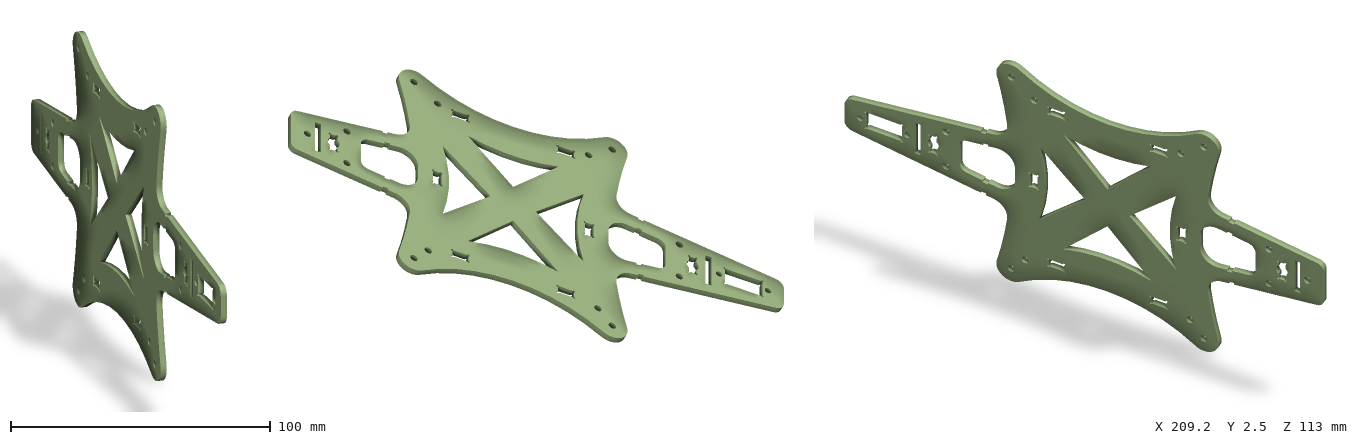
import cadquery as cq
import math

THICKNESS = 2.5
LEFT_END = -94.3
RIGHT_END = LEFT_END + 209.2

HEIGHT = 113.0
EAR_RADIUS = 6.5
EAR_X = 42.0
EAR_Z = HEIGHT / 2 - EAR_RADIUS
EDGE_WAIST_Z = 43.7
SIDE_WAIST_X = 42.3

ARM_TAPER = math.tan(math.radians(8))
ARM_HALF_AT_CENTRE = 23.8
ARM_ROOT_X = 43.3
ARM_ROOT_FILLET = 7.1
LEFT_END_RADIUS = 3.3
RIGHT_END_RADIUS = 4.0

WINDOW_INNER_X = 40.4
WINDOW_OUTER_X = 64.6
RAIL_WIDTH_Z = 7.0
WINDOW_INNER_RADIUS = 7.1
WINDOW_OUTER_RADIUS = 3.8

NOTCH_X = 53.8
NOTCH_WIDTH = 2.3
NOTCH_DEPTH = 0.8

OPENING_TIP = 9.6
OPENING_CORNER_REACH = 30.0
OPENING_CORNER_HALF = 19.2
OPENING_ARCH_REACH = 27.2

HOLE_DIAMETER = 3.1
UPPER_HOLE = (32.0, 42.3)
LOWER_HOLE = (36.0, -42.9)
ARM_HOLE = (70.5, 9.0)
LEFT_END_HOLE_X = -87.2

STRAP_X = 82.8
STRAP_WIDTH = 2.5
STRAP_LENGTH = 16.0

RELIEF_RADIUS = 0.52
TAB_LENGTH = 7.0
TAB_WIDTH = 3.5
EDGE_TAB = (22.4, 39.7)
SIDE_TAB_X = 32.2
LOCK_X = 76.1
LOCK_WIDTH = 3.1
LOCK_LENGTH = 8.8
LOCK_HOLE_DIAMETER = 5.0
SERVO_X = 97.7
SERVO_LENGTH = 16.0
SERVO_WIDTH = 8.4
SERVO_HOLE_PITCH = 20.7
SERVO_HOLE_DIAMETER = 2.7


def sketch():
    """Workplane on the back face, local axes X and Z, extruding toward -Y."""
    return cq.Workplane("XZ", origin=(0, THICKNESS / 2, 0))


def mirrored(x, z):
    """The four mirror images of a point, or two when it lies on an axis."""
    return sorted({(sx * x, sz * z) for sx in (1, -1) for sz in (1, -1)})


def arm_half_width(x):
    return ARM_HALF_AT_CENTRE - ARM_TAPER * abs(x)


def arc_tangent_to_ear(waist, along, across):
    """Arc with its middle at `waist` that runs tangentially into an ear.

    The ear centre lies `along` the edge from its middle and `across` from the
    part centre. Returns the tangent point in the same (along, across) terms.
    """
    rise = across - waist
    radius = (along**2 + rise**2 - EAR_RADIUS**2) / (2 * (EAR_RADIUS + rise))
    centre = waist + radius
    share = radius / (radius + EAR_RADIUS)
    return along * share, centre + (across - centre) * share


def body():
    edge_x, edge_z = arc_tangent_to_ear(EDGE_WAIST_Z, EAR_X, EAR_Z)
    side_z, side_x = arc_tangent_to_ear(SIDE_WAIST_X, EAR_Z, EAR_X)
    ear_reach = EAR_RADIUS / math.sqrt(2)
    ear_x = EAR_X + ear_reach
    ear_z = EAR_Z + ear_reach
    return (
        sketch()
        .moveTo(-edge_x, edge_z)
        .threePointArc((0, EDGE_WAIST_Z), (edge_x, edge_z))
        .threePointArc((ear_x, ear_z), (side_x, side_z))
        .threePointArc((SIDE_WAIST_X, 0), (side_x, -side_z))
        .threePointArc((ear_x, -ear_z), (edge_x, -edge_z))
        .threePointArc((0, -EDGE_WAIST_Z), (-edge_x, -edge_z))
        .threePointArc((-ear_x, -ear_z), (-side_x, -side_z))
        .threePointArc((-SIDE_WAIST_X, 0), (-side_x, side_z))
        .threePointArc((-ear_x, ear_z), (-edge_x, edge_z))
        .close()
        .extrude(THICKNESS)
    )


def trapezoid(x_inner, half_inner, x_outer, half_outer):
    return (
        sketch()
        .polyline([
            (x_inner, -half_inner),
            (x_outer, -half_outer),
            (x_outer, half_outer),
            (x_inner, half_inner),
        ])
        .close()
        .extrude(THICKNESS)
    )


def edges_near(x):
    """Selector for the through-thickness edges close to a given X, on either side of Z = 0."""
    reach = 1.0
    return cq.selectors.BoxSelector(
        (x - reach, -THICKNESS, -EDGE_WAIST_Z), (x + reach, THICKNESS, EDGE_WAIST_Z)
    )


def arm(x_end, end_radius):
    x_root = math.copysign(EAR_X / 2, x_end)
    blank = trapezoid(x_root, arm_half_width(x_root), x_end, arm_half_width(x_end))
    return blank.edges("|Y").edges(edges_near(x_end)).fillet(end_radius)


def arm_window(side):
    x_inner = side * WINDOW_INNER_X
    x_outer = side * WINDOW_OUTER_X
    window = trapezoid(
        x_inner, arm_half_width(x_inner) - RAIL_WIDTH_Z,
        x_outer, arm_half_width(x_outer) - RAIL_WIDTH_Z,
    )
    window = window.edges("|Y").edges(edges_near(x_inner)).fillet(WINDOW_INNER_RADIUS)
    return window.edges("|Y").edges(edges_near(x_outer)).fillet(WINDOW_OUTER_RADIUS)


def rail_notches():
    """Notch pairs square to each rail, one in its outer and one in its inner edge."""
    taper_angle = math.degrees(math.atan(ARM_TAPER))
    half_rail = RAIL_WIDTH_Z * math.cos(math.atan(ARM_TAPER)) / 2
    rail_z = arm_half_width(NOTCH_X) - RAIL_WIDTH_Z / 2
    notches = cq.Workplane("XZ")
    for x, z in mirrored(NOTCH_X, rail_z):
        tilt = -math.copysign(taper_angle, x * z)
        pair = (
            sketch()
            .transformed(rotate=(0, 0, tilt), offset=(x, z, 0))
            .pushPoints([(0, half_rail), (0, -half_rail)])
            .rect(NOTCH_WIDTH, 2 * NOTCH_DEPTH)
            .extrude(THICKNESS)
        )
        notches = notches.add(pair)
    return notches.combine()


def web_opening(angle):
    corner = OPENING_CORNER_HALF
    return (
        sketch()
        .transformed(rotate=(0, 0, angle))
        .moveTo(OPENING_TIP, 0)
        .lineTo(OPENING_CORNER_REACH, corner)
        .threePointArc((OPENING_ARCH_REACH, 0), (OPENING_CORNER_REACH, -corner))
        .close()
        .extrude(THICKNESS)
    )


def round_holes(points, diameter):
    return sketch().pushPoints(points).circle(diameter / 2).extrude(THICKNESS)


def plain_slots(points, x_size, z_size):
    return sketch().pushPoints(points).rect(x_size, z_size).extrude(THICKNESS)


def relieved_slots(points, x_size, z_size):
    """Rectangular slots with a small round relief on every corner."""
    corners = [
        (x + dx, z + dz)
        for x, z in points
        for dx, dz in mirrored(x_size / 2, z_size / 2)
    ]
    return plain_slots(points, x_size, z_size).union(round_holes(corners, 2 * RELIEF_RADIUS))


plate = body()
plate = plate.union(arm(LEFT_END, LEFT_END_RADIUS))
plate = plate.union(arm(RIGHT_END, RIGHT_END_RADIUS))
for x in (-ARM_ROOT_X, ARM_ROOT_X):
    plate = plate.edges("|Y").edges(edges_near(x)).fillet(ARM_ROOT_FILLET)

for side in (-1, 1):
    plate = plate.cut(arm_window(side))
for angle in (0, 90, 180, 270):
    plate = plate.cut(web_opening(angle))
plate = plate.cut(rail_notches())

hole_points = mirrored(EAR_X, EAR_Z) + mirrored(*ARM_HOLE)
for hole_x, hole_z in (UPPER_HOLE, LOWER_HOLE):
    hole_points += [(-hole_x, hole_z), (hole_x, hole_z)]
hole_points.append((LEFT_END_HOLE_X, 0))
plate = plate.cut(round_holes(hole_points, HOLE_DIAMETER))
servo_hole_points = [(SERVO_X + side * SERVO_HOLE_PITCH / 2, 0) for side in (-1, 1)]
plate = plate.cut(round_holes(servo_hole_points, SERVO_HOLE_DIAMETER))

plate = plate.cut(plain_slots(mirrored(STRAP_X, 0), STRAP_WIDTH, STRAP_LENGTH))
plate = plate.cut(relieved_slots(mirrored(*EDGE_TAB), TAB_LENGTH, TAB_WIDTH))
plate = plate.cut(relieved_slots(mirrored(SIDE_TAB_X, 0), TAB_WIDTH, TAB_LENGTH))
plate = plate.cut(relieved_slots(mirrored(LOCK_X, 0), LOCK_WIDTH, LOCK_LENGTH))
plate = plate.cut(round_holes(mirrored(LOCK_X, 0), LOCK_HOLE_DIAMETER))
plate = plate.cut(relieved_slots([(SERVO_X, 0)], SERVO_LENGTH, SERVO_WIDTH))

result = plate